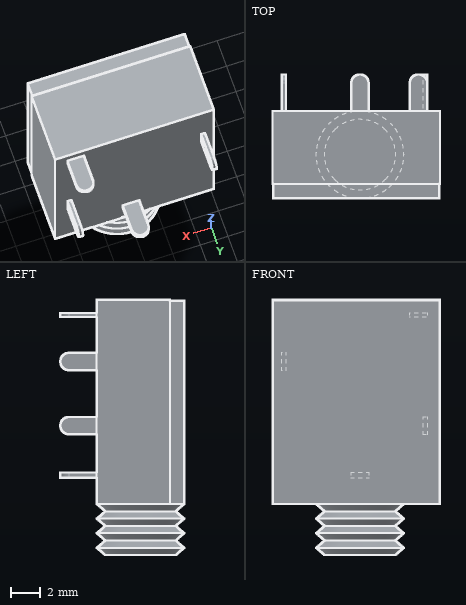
import cadquery as cq

total_height = 17.5
neck_length = 3.5
housing_height = total_height - neck_length
housing_width = 11.5
overall_depth = 8.5
pin_length = 2.5
lid_thickness = 1.0
lid_inset = 0.061
pin_face_y = overall_depth - pin_length

neck_axis_x = 6.0
crest_radius = pin_face_y / 2
root_radius = 2.43
flank_count = 7
flank_height = neck_length / flank_count

pin_width = 1.2
pin_thickness = 0.3
thick_pin_thickness = 0.38

flat_pins = [
    (neck_axis_x, 1.98, thick_pin_thickness),
    (10.01, 12.95, pin_thickness),
]
upright_pins = [(0.79, 9.76), (10.46, 5.37)]


def make_housing():
    body = cq.Workplane("XY").box(
        housing_width, pin_face_y - lid_thickness, housing_height, centered=False
    ).translate((0, lid_thickness, 0))
    lid = cq.Workplane("XY").box(
        housing_width - 2 * lid_inset, lid_thickness, housing_height - lid_inset, centered=False
    ).translate((lid_inset, 0, 0))
    return body.union(lid)


def make_neck():
    """Revolve a zigzag of crests and roots, starting with a crest at the housing."""
    zigzag = []
    for i in range(flank_count + 1):
        radius = crest_radius if i % 2 == 0 else root_radius
        zigzag.append((radius, -i * flank_height))
    profile = [(0, 0)] + zigzag + [(0, -neck_length)]
    neck = cq.Workplane("XZ").polyline(profile).close().revolve(360, (0, 0), (0, 1))
    return neck.translate((neck_axis_x, crest_radius, 0))


def make_flat_pin(thickness):
    """A pin from the origin along +Y, centred on the Y axis, with its width along X."""
    half_width = pin_width / 2
    shoulder = pin_length - half_width
    return (
        cq.Workplane("XY")
        .moveTo(-half_width, 0)
        .lineTo(half_width, 0)
        .lineTo(half_width, shoulder)
        .threePointArc((0, pin_length), (-half_width, shoulder))
        .close()
        .extrude(thickness / 2, both=True)
    )


result = make_housing().union(make_neck())
for x, z, thickness in flat_pins:
    result = result.union(make_flat_pin(thickness).translate((x, pin_face_y, z)))
for x, z in upright_pins:
    upright_pin = make_flat_pin(pin_thickness).rotate((0, 0, 0), (0, 1, 0), 90)
    result = result.union(upright_pin.translate((x, pin_face_y, z)))